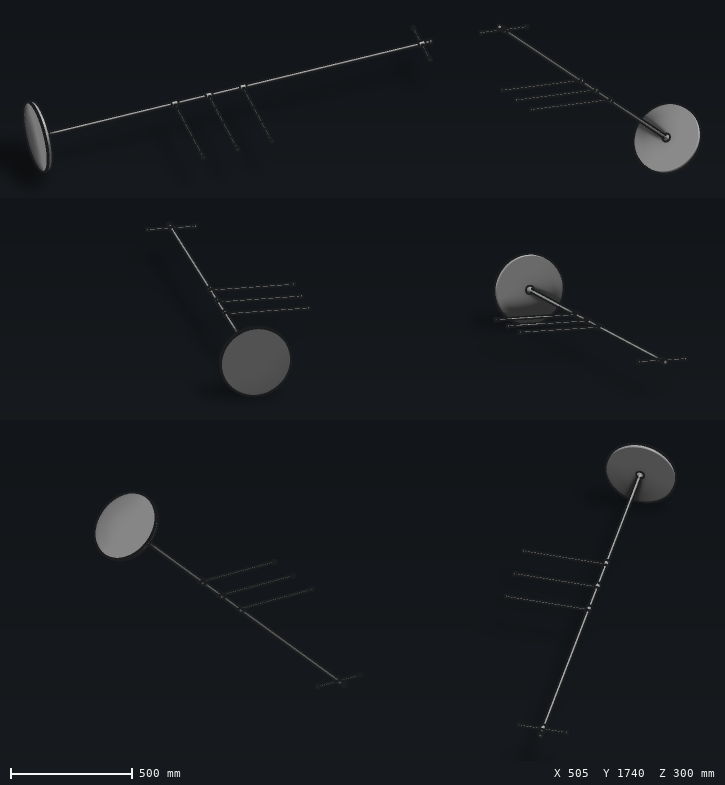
import cadquery as cq

total_length = 1740.0
total_width = 505.0

base_diameter = 300.0
base_thickness = 25.0
base_edge_round = 7.0
pad_height = 5.0
pad_inset = 2.0
foot_top = 45.0
foot_radius = 17.0
flare_hollow = 0.3

pole_diameter = 15.3
knob_diameter = 21.0
knob_length = 12.0

collar_diameter = 25.0
collar_length = 30.0

rod_diameter = 10.0
cap_diameter = 15.0
cap_length = 10.0

arm_reach = total_width - base_diameter / 2
middle_arm_y = 760.0
arm_spacing = 150.0
arm_positions = [middle_arm_y + step * arm_spacing for step in (-1, 0, 1)]
crossbar_reach = 106.0
crossbar_y = 1695.0


def cylinder_along_y(diameter, start, length):
    """Cylinder around the pole axis, growing toward +Y from the start."""
    plane = cq.Plane(origin=(0, start, 0), xDir=(1, 0, 0), normal=(0, 1, 0))
    return cq.Workplane(plane).circle(diameter / 2).extrude(length)


def make_stand():
    """Stepped base disc, flared foot, pole and end knob turned as one piece."""
    pole_radius = pole_diameter / 2
    pad = cylinder_along_y(base_diameter - 2 * pad_inset, 0, pad_height)
    base = cylinder_along_y(base_diameter, pad_height, base_thickness - pad_height)
    base = base.faces(">Y").edges().fillet(base_edge_round)

    flare_middle = (
        pole_radius + flare_hollow * (foot_radius - pole_radius),
        base_thickness + flare_hollow * (foot_top - base_thickness),
    )
    foot = (
        cq.Workplane("XY")
        .moveTo(0, base_thickness)
        .lineTo(foot_radius, base_thickness)
        .threePointArc(flare_middle, (pole_radius, foot_top))
        .lineTo(0, foot_top)
        .close()
        .revolve(360, (0, 0, 0), (0, 1, 0))
    )
    pole = cylinder_along_y(pole_diameter, base_thickness, total_length - base_thickness)
    knob = cylinder_along_y(knob_diameter, total_length - knob_length, knob_length)
    return base.union(pad).union(foot).union(pole).union(knob)


def make_rod(y, reach, direction):
    """Capped rod leaving the pole axis toward +X (direction 1) or -X (direction -1)."""
    axis_plane = cq.Plane(origin=(0, y, 0), xDir=(0, 1, 0), normal=(direction, 0, 0))
    rod = cq.Workplane(axis_plane).circle(rod_diameter / 2).extrude(reach)
    cap = (
        cq.Workplane(axis_plane)
        .workplane(offset=reach - cap_length)
        .circle(cap_diameter / 2)
        .extrude(cap_length)
    )
    return rod.union(cap)


def make_collared_rods(y, reach, directions):
    """Collar around the pole carrying one rod per direction, bored to fit the pole."""
    start = y - collar_length / 2
    body = cylinder_along_y(collar_diameter, start, collar_length)
    for direction in directions:
        body = body.union(make_rod(y, reach, direction))
    return body.cut(cylinder_along_y(pole_diameter, start, collar_length))


stand = make_stand()
arms = [make_collared_rods(y, arm_reach, (1,)) for y in arm_positions]
crossbar = make_collared_rods(crossbar_y, crossbar_reach, (-1, 1))

result = cq.Compound.makeCompound([stand.val(), *[arm.val() for arm in arms], crossbar.val()])